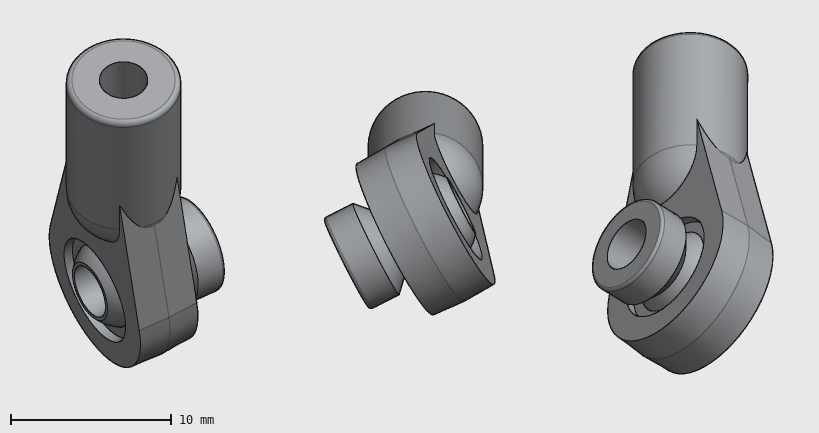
import cadquery as cq
import math


eye_radius = 5.38
eye_height = eye_radius
plate_half_thickness = 2.12
plate_taper = 13.1
plate_draft = 3.0
plate_top = 17.85
race_bore_radius = 3.55

housing_height = 24.1
shank_radius = 3.57
shank_bottom = 13.98
shank_top_fillet = 0.35
rod_hole_radius = 1.5
rod_hole_depth = 10.13
drill_point_angle = 118.0

race_half_width = 1.5
ball_radius = 3.18
ball_half_width = 2.5
bolt_hole_radius = 1.74

collar_end = 5.5
collar_rim_start = 3.45
collar_radius = 3.18
collar_nose_radius = 2.2
collar_edge = 0.2

swivel_down = 4.0
swivel_sideways = 0.9


def eye_centred(body):
    """Move a body built around the origin to the eye centre."""
    return body.translate((0, 0, eye_height))


def swivelled(body):
    """Tilt a body built around the origin and put it at the eye centre."""
    tilted = body.rotate((0, 0, 0), (1, 0, 0), -swivel_down)
    turned = tilted.rotate((0, 0, 0), (0, 0, 1), swivel_sideways)
    return eye_centred(turned)


def cylinder_along_y(radius, start, end):
    return cq.Workplane("XZ", origin=(0, start, 0)).circle(radius).extrude(start - end)


def make_half_plate(direction):
    """Teardrop from the mid-plane to one flat face; direction is +1 or -1 along Y."""
    lean = math.radians(plate_taper)
    tangent_x = eye_radius * math.cos(lean)
    tangent_z = eye_radius * math.sin(lean)
    top_z = plate_top - eye_height
    top_x = tangent_x - (top_z - tangent_z) * math.tan(lean)
    half_plate = (
        cq.Workplane("XZ")
        .moveTo(top_x, top_z)
        .lineTo(tangent_x, tangent_z)
        .threePointArc((0, -eye_radius), (-tangent_x, tangent_z))
        .lineTo(-top_x, top_z)
        .close()
        .extrude(-direction * plate_half_thickness, taper=plate_draft)
    )
    return eye_centred(half_plate)


def make_shank():
    cylinder = (
        cq.Workplane("XY", origin=(0, 0, shank_bottom))
        .circle(shank_radius)
        .extrude(housing_height - shank_bottom)
        .faces(">Z")
        .edges()
        .fillet(shank_top_fillet)
    )
    round_end = cq.Workplane("XY").sphere(shank_radius).translate((0, 0, shank_bottom))
    return cylinder.union(round_end)


def make_rod_hole():
    """Blind hole from the top of the shank with a conical drill point."""
    point_length = rod_hole_radius / math.tan(math.radians(drill_point_angle / 2))
    floor_z = housing_height - rod_hole_depth
    return (
        cq.Workplane("XZ")
        .moveTo(0, housing_height)
        .lineTo(rod_hole_radius, housing_height)
        .lineTo(rod_hole_radius, floor_z)
        .lineTo(0, floor_z - point_length)
        .close()
        .revolve(360, (0, 0, 0), (0, 1, 0))
    )


def make_housing():
    plate = make_half_plate(1).union(make_half_plate(-1))
    race_bore = cylinder_along_y(race_bore_radius, -plate_half_thickness, plate_half_thickness)
    return make_shank().union(plate).cut(eye_centred(race_bore)).cut(make_rod_hole())


def make_race():
    ring = cylinder_along_y(race_bore_radius, -race_half_width, race_half_width)
    socket = cq.Workplane("XY").sphere(ball_radius)
    return eye_centred(ring.cut(socket))


def make_ball():
    """Ball with two flats and a bolt hole, turned about the Y axis."""
    flat_radius = math.sqrt(ball_radius**2 - ball_half_width**2)
    ball = (
        cq.Workplane("XY")
        .moveTo(bolt_hole_radius, -ball_half_width)
        .lineTo(flat_radius, -ball_half_width)
        .threePointArc((ball_radius, 0), (flat_radius, ball_half_width))
        .lineTo(bolt_hole_radius, ball_half_width)
        .close()
        .revolve(360, (0, 0, 0), (0, 1, 0))
    )
    return swivelled(ball)


def make_collar():
    """Ring with a conical nose, continuing the bolt hole, turned about the Y axis."""
    collar = (
        cq.Workplane("XY")
        .moveTo(bolt_hole_radius, ball_half_width)
        .lineTo(collar_nose_radius, ball_half_width)
        .lineTo(collar_radius, collar_rim_start)
        .lineTo(collar_radius, collar_end - collar_edge)
        .radiusArc((collar_radius - collar_edge, collar_end), -collar_edge)
        .lineTo(bolt_hole_radius, collar_end)
        .close()
        .revolve(360, (0, 0, 0), (0, 1, 0))
    )
    return swivelled(collar)


housing = make_housing()
race = make_race()
ball = make_ball()
collar = make_collar()

result = cq.Compound.makeCompound([housing.val(), race.val(), ball.val(), collar.val()])